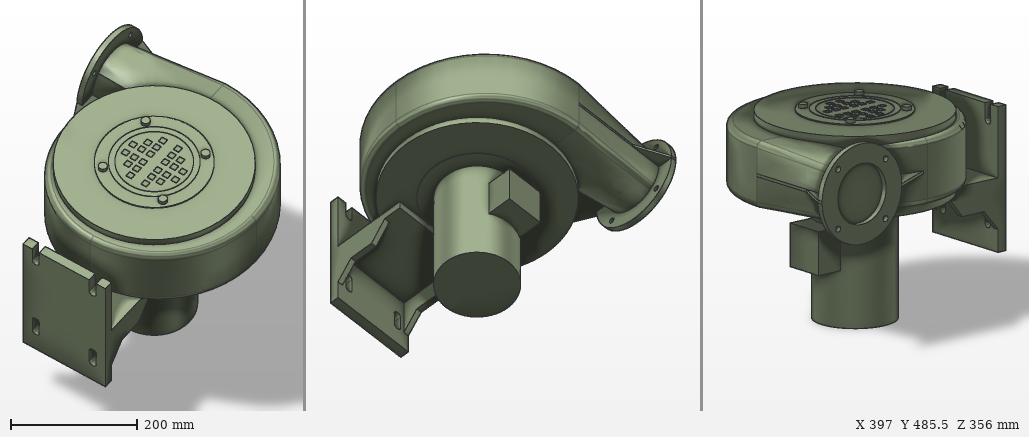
import cadquery as cq
import math


TOTAL_X = 397.0
TOTAL_Y = 485.5
TOTAL_Z = 356.0

FLANGE_DIA = 165.0
FLANGE_THICKNESS = 10.0
FLANGE_BOLT_DIA = 9.5
FLANGE_BOLT_OFFSET = 49.0
BORE_DIA = 100.0
DUCT_SIZE = 109.5
FLANGE_TOP_Y = 240.5
FLANGE_CENTRE_Y = FLANGE_TOP_Y - FLANGE_DIA / 2

HOUSING_HEIGHT = DUCT_SIZE
HOUSING_FILLET = 10.0
SPIRAL_STEP = 16.0
SPIRAL_LEFT = -11.5
SPIRAL_RIGHT = SPIRAL_LEFT + SPIRAL_STEP
SPIRAL_TOP = SPIRAL_STEP / 2
SPIRAL_BOTTOM = -SPIRAL_STEP / 2
FIRST_RADIUS = FLANGE_CENTRE_Y + DUCT_SIZE / 2 - SPIRAL_TOP
FLANGE_FACE_X = SPIRAL_LEFT + FIRST_RADIUS - TOTAL_X
FLANGE_BACK_X = FLANGE_FACE_X + FLANGE_THICKNESS

CORE_DIA = 320.0
CORE_HEIGHT = 135.0
COVER_DIA = 190.0
BASE_PLATE_DIA = 191.0
COVER_THICKNESS = 2.0
BASE_PLATE_THICKNESS = 1.0
GRILLE_OUTER_DIA = 145.0
GRILLE_INNER_DIA = 125.0
GRILLE_RIM_HEIGHT = 1.0
COVER_BOLT_DIA = 14.5
COVER_BOLT_HEIGHT = 8.3
COVER_BOLT_OFFSET = 58.5
CORE_TOP = CORE_HEIGHT / 2
CORE_BOTTOM = -CORE_HEIGHT / 2
COVER_TOP = CORE_TOP + COVER_THICKNESS
BASE_BOTTOM = CORE_BOTTOM - BASE_PLATE_THICKNESS

VENT_SIZE = 10.0
VENT_DEPTH = 1.0
VENT_PITCH = 17.0
VENT_FIRST_X = 14.5
VENT_FIRST_Y = 10.0
VENT_COLUMNS = (3, 2, 1)

MOTOR_DIA = 138.0
MOTOR_BOTTOM = FLANGE_DIA / 2 - TOTAL_Z
BOX_WIDTH = 70.0
BOX_BACK_Y = 105.0
BOX_FRONT_Y = 59.0
BOX_TOP = -107.5
BOX_BOTTOM = -179.0

BRACKET_WIDTH = 160.0
WALL_THICKNESS = 16.5
WALL_TOP = 48.5
WALL_HEIGHT = 239.5
WALL_FRONT_Y = FLANGE_TOP_Y - TOTAL_Y
WALL_BACK_Y = WALL_FRONT_Y + WALL_THICKNESS
WALL_BOTTOM = WALL_TOP - WALL_HEIGHT
ARM_THICKNESS = 14.5
ARM_END_Y = -92.5
ARM_BOTTOM = BASE_BOTTOM - ARM_THICKNESS
GUSSET_THICKNESS = 10.0
GUSSET_START_Y = -125.7
GUSSET_STEP_START_Y = -155.0
GUSSET_STEP_END_Y = -200.0
GUSSET_STEP_Z = -119.0
GUSSET_END_Z = -153.0
SLOT_WIDTH = 13.5
SLOT_SPACING = 110.5
UPPER_SLOT_BOTTOM = 15.0
LOWER_SLOT_TOP = -116.5
LOWER_SLOT_BOTTOM = -155.5

WEB_THICKNESS = 5.0
WEB_TOP_END_X = -133.0
WEB_TIP_X = -168.0


def box(x_range, y_range, z_range):
    """Box spanning the given (low, high) ranges."""
    ranges = (x_range, y_range, z_range)
    size = [high - low for low, high in ranges]
    centre = [(high + low) / 2 for low, high in ranges]
    return cq.Workplane("XY").box(*size).translate(tuple(centre))


def disc(diameter, bottom, top):
    """Cylinder about the motor axis."""
    return cq.Workplane("XY").workplane(offset=bottom).circle(diameter / 2).extrude(top - bottom)


def four_corners(offset):
    """Points at the corners of a square centred on the origin."""
    return [(x, y) for x in (-offset, offset) for y in (-offset, offset)]


def spiral_housing():
    """Quarter arcs running clockwise from the outlet, each one step smaller."""
    centres = (
        (SPIRAL_LEFT, SPIRAL_TOP),
        (SPIRAL_RIGHT, SPIRAL_TOP),
        (SPIRAL_RIGHT, SPIRAL_BOTTOM),
        (SPIRAL_LEFT, SPIRAL_BOTTOM),
    )

    def arc_point(centre, radius, degrees):
        angle = math.radians(degrees)
        return (centre[0] + radius * math.cos(angle), centre[1] + radius * math.sin(angle))

    outline = cq.Workplane("XY").workplane(offset=-HOUSING_HEIGHT / 2)
    outline = outline.moveTo(*arc_point(centres[0], FIRST_RADIUS, 90))
    for quarter, centre in enumerate(centres):
        radius = FIRST_RADIUS - quarter * SPIRAL_STEP
        start = 90 - 90 * quarter
        outline = outline.threePointArc(
            arc_point(centre, radius, start - 45),
            arc_point(centre, radius, start - 90),
        )
    body = outline.close().extrude(HOUSING_HEIGHT)
    return body.faces("|Z").edges("%CIRCLE").fillet(HOUSING_FILLET)


def outlet_duct():
    """Round duct at the flange, blending to a square whose outer corners match the housing fillet."""
    square = (
        cq.Sketch()
        .rect(DUCT_SIZE, DUCT_SIZE)
        .vertices(">X")
        .fillet(HOUSING_FILLET)
    )
    return (
        cq.Workplane("YZ", origin=(FLANGE_BACK_X, FLANGE_CENTRE_Y, 0))
        .placeSketch(
            cq.Sketch().circle(DUCT_SIZE / 2),
            square.moved(cq.Location(cq.Vector(0, 0, SPIRAL_LEFT - FLANGE_BACK_X))),
        )
        .loft()
    )


def flange_plane():
    return cq.Workplane("YZ", origin=(FLANGE_FACE_X, FLANGE_CENTRE_Y, 0))


def outlet_flange():
    return flange_plane().circle(FLANGE_DIA / 2).extrude(FLANGE_THICKNESS)


def flange_openings():
    """Blind outlet bore and the bolt holes, as deep as the flange."""
    bore = flange_plane().circle(BORE_DIA / 2).extrude(FLANGE_THICKNESS)
    bolt_holes = (
        flange_plane()
        .pushPoints(four_corners(FLANGE_BOLT_OFFSET))
        .circle(FLANGE_BOLT_DIA / 2)
        .extrude(FLANGE_THICKNESS)
    )
    return bore.union(bolt_holes)


def stiffening_web():
    duct_top_y = FLANGE_CENTRE_Y + DUCT_SIZE / 2
    outline = [
        (FLANGE_FACE_X, FLANGE_TOP_Y - FLANGE_DIA),
        (WEB_TIP_X, 0),
        (SPIRAL_LEFT, 0),
        (SPIRAL_LEFT, duct_top_y),
        (WEB_TOP_END_X, duct_top_y),
        (FLANGE_BACK_X, FLANGE_TOP_Y),
        (FLANGE_FACE_X, FLANGE_TOP_Y),
    ]
    return cq.Workplane("XY").polyline(outline).close().extrude(WEB_THICKNESS / 2, both=True)


def cover():
    """Cover plate with a raised grille rim and four bolt heads."""
    plate = disc(COVER_DIA, CORE_TOP, COVER_TOP)
    rim_top = COVER_TOP + GRILLE_RIM_HEIGHT
    rim = disc(GRILLE_OUTER_DIA, COVER_TOP, rim_top).cut(disc(GRILLE_INNER_DIA, COVER_TOP, rim_top))
    bolts = (
        cq.Workplane("XY")
        .workplane(offset=CORE_TOP)
        .pushPoints(four_corners(COVER_BOLT_OFFSET))
        .circle(COVER_BOLT_DIA / 2)
        .extrude(COVER_BOLT_HEIGHT)
    )
    return plate.union(rim).union(bolts)


def vents():
    """Shallow square openings mirrored into the four quadrants."""
    centres = []
    for row, columns in enumerate(VENT_COLUMNS):
        y = VENT_FIRST_Y + row * VENT_PITCH
        for column in range(columns):
            x = VENT_FIRST_X + column * VENT_PITCH
            centres += [(x, y), (-x, y), (x, -y), (-x, -y)]
    return (
        cq.Workplane("XY")
        .workplane(offset=COVER_TOP)
        .pushPoints(centres)
        .rect(VENT_SIZE, VENT_SIZE)
        .extrude(-VENT_DEPTH)
    )


def terminal_box():
    return box((-BOX_WIDTH / 2, BOX_WIDTH / 2), (BOX_FRONT_Y, BOX_BACK_Y), (BOX_BOTTOM, BOX_TOP))


def wall_slots():
    """Two slots open at the top of the wall and two closed ones below."""
    slots = cq.Workplane("XY")
    for x in (-SLOT_SPACING / 2, SLOT_SPACING / 2):
        for bottom, top in (
            (UPPER_SLOT_BOTTOM, WALL_TOP + SLOT_WIDTH),
            (LOWER_SLOT_BOTTOM, LOWER_SLOT_TOP),
        ):
            slot = (
                cq.Workplane("XZ", origin=(x, WALL_BACK_Y, (bottom + top) / 2))
                .slot2D(top - bottom, SLOT_WIDTH, 90)
                .extrude(WALL_THICKNESS)
            )
            slots = slots.add(slot)
    return slots.combine()


def bracket():
    """Upright slotted wall, horizontal arm and a gusset plate along each side."""
    half_width = BRACKET_WIDTH / 2
    wall = box((-half_width, half_width), (WALL_FRONT_Y, WALL_BACK_Y), (WALL_BOTTOM, WALL_TOP))
    arm = box((-half_width, half_width), (WALL_BACK_Y, ARM_END_Y), (ARM_BOTTOM, BASE_BOTTOM))
    profile = [
        (WALL_BACK_Y, ARM_BOTTOM),
        (GUSSET_START_Y, ARM_BOTTOM),
        (GUSSET_STEP_START_Y, GUSSET_STEP_Z),
        (GUSSET_STEP_END_Y, GUSSET_STEP_Z),
        (WALL_BACK_Y, GUSSET_END_Z),
    ]
    body = wall.cut(wall_slots()).union(arm)
    for x in (-half_width, half_width - GUSSET_THICKNESS):
        gusset = cq.Workplane("YZ", origin=(x, 0, 0)).polyline(profile).close()
        body = body.union(gusset.extrude(GUSSET_THICKNESS))
    return body


result = (
    spiral_housing()
    .union(outlet_duct())
    .union(disc(CORE_DIA, CORE_BOTTOM, CORE_TOP))
    .union(outlet_flange())
    .union(stiffening_web())
    .cut(flange_openings())
    .union(cover())
    .cut(vents())
    .union(disc(BASE_PLATE_DIA, BASE_BOTTOM, CORE_BOTTOM))
    .union(disc(MOTOR_DIA, MOTOR_BOTTOM, BASE_BOTTOM))
    .union(terminal_box())
    .union(bracket())
)